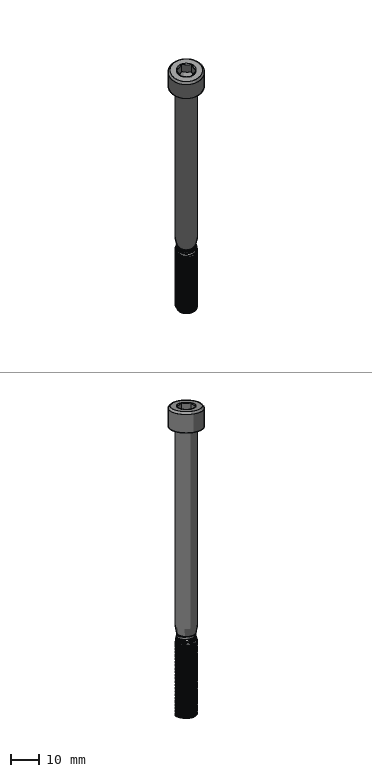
import cadquery as cq
import math

TOTAL_LENGTH = 118.0
HEAD_DIAMETER = 13.0
HEAD_HEIGHT = 8.0
SHANK_DIAMETER = 8.0

HEAD_TOP_CHAMFER_WIDTH = 0.7
HEAD_TOP_CHAMFER_HEIGHT = 0.8
HEAD_BOTTOM_CHAMFER = 0.2
UNDERHEAD_FILLET = 1.1

SOCKET_WIDTH = 6.0
SOCKET_DEPTH = 4.0
HEXAGON_HALF_ANGLE = 30.0
SOCKET_CONE_ANGLE = 120.0
SOCKET_MOUTH_RADIUS = 3.5

THREAD_TURNS = 25
THREAD_ROOT_DIAMETER = 6.5
THREAD_LENGTH = 31.3
THREAD_PITCH = THREAD_LENGTH / THREAD_TURNS
THREAD_RUNOUT_LENGTH = 3.5
RUNOUT_CLEARANCE = 0.2
NECK_WAIST_DIAMETER = 7.0
NECK_LENGTH = 3.1
CREST_FLAT = THREAD_PITCH / 8
ROOT_FLAT = THREAD_PITCH / 4
CREST_START_ANGLE = -45.0
FLANK_POINTS = 6

head_radius = HEAD_DIAMETER / 2
shank_radius = SHANK_DIAMETER / 2
waist_radius = NECK_WAIST_DIAMETER / 2
root_radius = THREAD_ROOT_DIAMETER / 2
head_base = TOTAL_LENGTH - HEAD_HEIGHT
runout_start = THREAD_LENGTH - THREAD_RUNOUT_LENGTH
neck_top = THREAD_LENGTH + NECK_LENGTH


def make_blank():
    """Turned screw above the thread, without its socket."""
    return (
        cq.Workplane("XZ")
        .moveTo(0, THREAD_LENGTH)
        .lineTo(waist_radius, THREAD_LENGTH)
        .lineTo(shank_radius, neck_top)
        .lineTo(shank_radius, head_base - UNDERHEAD_FILLET)
        .radiusArc((shank_radius + UNDERHEAD_FILLET, head_base), UNDERHEAD_FILLET)
        .lineTo(head_radius - HEAD_BOTTOM_CHAMFER, head_base)
        .lineTo(head_radius, head_base + HEAD_BOTTOM_CHAMFER)
        .lineTo(head_radius, TOTAL_LENGTH - HEAD_TOP_CHAMFER_HEIGHT)
        .lineTo(head_radius - HEAD_TOP_CHAMFER_WIDTH, TOTAL_LENGTH)
        .lineTo(0, TOTAL_LENGTH)
        .close()
        .revolve(360, (0, 0, 0), (0, 1, 0))
    )


def make_socket():
    """Hexagon with flats facing +X and -X, a conical floor and a countersunk mouth."""
    half_width = SOCKET_WIDTH / 2
    corner_radius = half_width / math.cos(math.radians(HEXAGON_HALF_ANGLE))
    cone_slope = 1 / math.tan(math.radians(SOCKET_CONE_ANGLE / 2))
    wall_bottom = TOTAL_LENGTH - SOCKET_DEPTH
    tip = wall_bottom - half_width * cone_slope
    hexagon = (
        cq.Workplane("XY", origin=(0, 0, tip))
        .transformed(rotate=(0, 0, HEXAGON_HALF_ANGLE))
        .polygon(6, 2 * corner_radius)
        .extrude(TOTAL_LENGTH - tip)
    )
    floor_radius = 2 * corner_radius
    floor_envelope = (
        cq.Workplane("XZ")
        .moveTo(0, tip)
        .lineTo(floor_radius, tip + floor_radius * cone_slope)
        .lineTo(floor_radius, TOTAL_LENGTH)
        .lineTo(0, TOTAL_LENGTH)
        .close()
        .revolve(360, (0, 0, 0), (0, 1, 0))
    )
    mouth = (
        cq.Workplane("XZ")
        .moveTo(0, TOTAL_LENGTH - SOCKET_MOUTH_RADIUS * cone_slope)
        .lineTo(SOCKET_MOUTH_RADIUS, TOTAL_LENGTH)
        .lineTo(0, TOTAL_LENGTH)
        .close()
        .revolve(360, (0, 0, 0), (0, 1, 0))
    )
    return hexagon.intersect(floor_envelope).union(mouth)


def thread_section():
    """Cross-section of the single-start thread: crest and root arcs joined by two spirals."""
    crest_half = 180 * CREST_FLAT / THREAD_PITCH
    root_half = 180 * ROOT_FLAT / THREAD_PITCH
    flank_sweep = 180 - crest_half - root_half

    def point(radius, angle):
        radians = math.radians(CREST_START_ANGLE + angle)
        return (radius * math.cos(radians), radius * math.sin(radians))

    def falling_flank(t):
        return point(shank_radius + (root_radius - shank_radius) * t, crest_half + flank_sweep * t)

    def rising_flank(t):
        return point(root_radius + (shank_radius - root_radius) * t, 180 + root_half + flank_sweep * t)

    return (
        cq.Workplane("XY")
        .moveTo(*point(shank_radius, -crest_half))
        .threePointArc(point(shank_radius, 0), point(shank_radius, crest_half))
        .parametricCurve(falling_flank, N=FLANK_POINTS, makeWire=False)
        .moveTo(*point(root_radius, 180 - root_half))
        .threePointArc(point(root_radius, 180), point(root_radius, 180 + root_half))
        .parametricCurve(rising_flank, N=FLANK_POINTS, makeWire=False)
        .wire()
    )


def make_threaded_rod(bottom, length):
    """Right-hand threaded rod of constant crest diameter, in phase with Z = 0."""
    twist = 360 * length / THREAD_PITCH
    start_angle = 360 * bottom / THREAD_PITCH
    rod = thread_section().twistExtrude(length, twist)
    return rod.rotate((0, 0, 0), (0, 0, 1), start_angle).translate((0, 0, bottom))


def make_runout():
    """Last turns of the thread, trimmed by a cone that brings the crest down to the root."""
    taper = cq.Solid.makeCone(
        shank_radius + RUNOUT_CLEARANCE,
        root_radius,
        THREAD_RUNOUT_LENGTH,
        cq.Vector(0, 0, runout_start),
        cq.Vector(0, 0, 1),
    )
    rod = make_threaded_rod(runout_start, THREAD_RUNOUT_LENGTH)
    return rod.intersect(cq.Workplane(taper), clean=False)


result = (
    make_blank()
    .cut(make_socket())
    .union(make_runout(), clean=False)
    .union(make_threaded_rod(0, runout_start), clean=False)
)